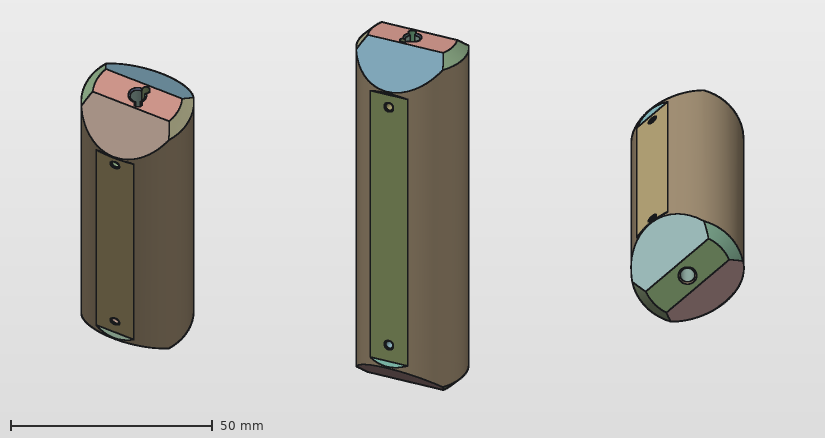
import cadquery as cq
import math

length = 95.0
diameter = 28.0
radius = diameter / 2
half_length = length / 2

end_chamfer = 2.85
end_flat_half_width = 3.8
end_slope_angle = 40.0
slope_depth = (radius - end_flat_half_width) * math.tan(math.radians(end_slope_angle))

flat_distance = 13.0
flat_end_margin = 10.0
flat_top = half_length - flat_end_margin
flat_cut_depth = radius - flat_distance

cross_hole_diameter = 2.0
cross_hole_mouth_diameter = 2.6
cross_hole_spacing = 67.0
cross_hole_center = 0.6

bore_diameter = 3.7
bore_mouth_diameter = 4.6
relief_diameter = 2.0
relief_x = 1.2
relief_y = 2.3
relief_depth = 9.5


def make_body():
    """Cylinder with conical end chamfers, trimmed to the wedge-shaped side profile."""
    cylinder = cq.Workplane("XY").cylinder(length, radius).faces("<Z or >Z").chamfer(end_chamfer)
    shoulder = half_length - slope_depth
    profile = [
        (end_flat_half_width, half_length),
        (radius, shoulder),
        (radius, -shoulder),
        (end_flat_half_width, -half_length),
        (-end_flat_half_width, -half_length),
        (-radius, -shoulder),
        (-radius, shoulder),
        (-end_flat_half_width, half_length),
    ]
    wedge = cq.Workplane("YZ").polyline(profile).close().extrude(radius, both=True)
    return cylinder.intersect(wedge)


def make_flat_cutter():
    """Cutter for the +Y flat, whose two ends run out at 45 degrees."""
    profile = [
        (flat_distance, -flat_top),
        (radius, -flat_top - flat_cut_depth),
        (radius, flat_top + flat_cut_depth),
        (flat_distance, flat_top),
    ]
    return cq.Workplane("YZ").polyline(profile).close().extrude(radius, both=True)


def make_countersunk_hole(hole_diameter, mouth_diameter, mouth_distance):
    """Through hole along Z with a 45 degree countersink at both mouths."""
    hole_radius = hole_diameter / 2
    mouth_radius = mouth_diameter / 2
    throat = mouth_distance - (mouth_radius - hole_radius)
    profile = [
        (0, -mouth_distance),
        (mouth_radius, -mouth_distance),
        (hole_radius, -throat),
        (hole_radius, throat),
        (mouth_radius, mouth_distance),
        (0, mouth_distance),
    ]
    return cq.Workplane("XZ").polyline(profile).close().revolve(360, (0, 0), (0, 1))


def make_cross_holes():
    """Two holes along Y that pass through the body and open onto both flats."""
    hole = make_countersunk_hole(cross_hole_diameter, cross_hole_mouth_diameter, flat_distance)
    hole = hole.rotate((0, 0, 0), (1, 0, 0), 90)
    offset = cross_hole_spacing / 2
    upper = hole.translate((0, 0, cross_hole_center + offset))
    lower = hole.translate((0, 0, cross_hole_center - offset))
    return upper.add(lower).combine()


def make_relief_holes():
    """Two blind holes in the top face beside the bore."""
    centers = [(relief_x, side * relief_y) for side in (-1, 1)]
    top_plane = cq.Workplane("XY").workplane(offset=half_length)
    return top_plane.pushPoints(centers).circle(relief_diameter / 2).extrude(-relief_depth)


flat_cutter = make_flat_cutter()
bore = make_countersunk_hole(bore_diameter, bore_mouth_diameter, half_length)

result = (
    make_body()
    .cut(flat_cutter)
    .cut(flat_cutter.mirror("XZ"))
    .cut(make_cross_holes())
    .cut(bore)
    .cut(make_relief_holes())
)